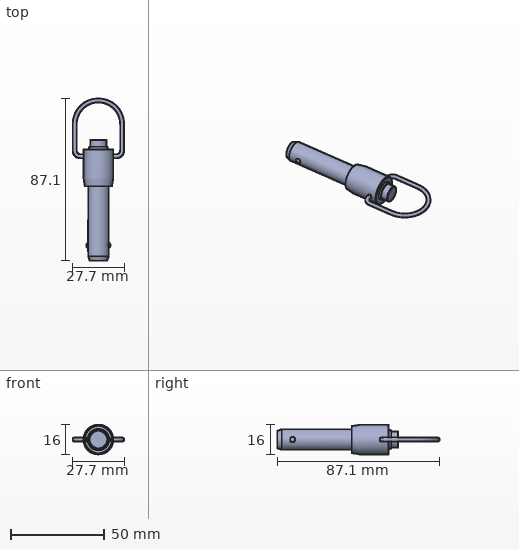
import cadquery as cq


tip_taper_length = 2.4
ball_y = 8.3
body_start = 39.9
recess_depth = 0.3
body_taper_end = 44.2
body_end = 59.9
collar_end = 61.1
button_end = 65.0

tip_radius = 4.7
shank_radius = 5.6
recess_radius = 5.75
body_nose_radius = 7.3
body_radius = 8.0
collar_base_radius = 5.2
collar_top_radius = 5.0
button_radius = 4.4
edge_chamfer = 0.3

ball_radius = 1.5
ball_reach = 6.5

overall_length = 87.1
bail_width = 27.7
wire_radius = 1.1
bend_radius = 3.1
bail_half = bail_width / 2 - wire_radius
bow_center_y = overall_length - bail_width / 2
bail_pivot_y = 56.0
bail_embed_x = body_radius - 1.7


def turned_pin():
    """Shank, body with a shallow clearance recess, collar and button."""
    half_profile = [
        (0, 0),
        (tip_radius, 0),
        (shank_radius, tip_taper_length),
        (shank_radius, body_start + recess_depth),
        (recess_radius, body_start + recess_depth),
        (recess_radius, body_start),
        (body_nose_radius, body_start),
        (body_radius, body_taper_end),
        (body_radius, body_end - edge_chamfer),
        (body_radius - edge_chamfer, body_end),
        (collar_base_radius, body_end),
        (collar_top_radius, collar_end),
        (button_radius, collar_end),
        (button_radius, button_end - edge_chamfer),
        (button_radius - edge_chamfer, button_end),
        (0, button_end),
    ]
    return cq.Workplane("XY").polyline(half_profile).close().revolve(360, (0, 0, 0), (0, 1, 0))


def locking_ball(side):
    """Ball protruding from the shank; side is -1 or 1."""
    ball_x = side * (ball_reach - ball_radius)
    return cq.Workplane("XY").sphere(ball_radius).translate((ball_x, ball_y, 0))


def bail():
    """Round wire swept from inside the body, around the bow and back."""
    bend_x = bail_half - bend_radius
    bend_y = bail_pivot_y + bend_radius
    path = (
        cq.Workplane("XY")
        .moveTo(-bail_embed_x, bail_pivot_y)
        .lineTo(-bend_x, bail_pivot_y)
        .tangentArcPoint((-bail_half, bend_y), relative=False)
        .lineTo(-bail_half, bow_center_y)
        .threePointArc((0, bow_center_y + bail_half), (bail_half, bow_center_y))
        .lineTo(bail_half, bend_y)
        .tangentArcPoint((bend_x, bail_pivot_y), relative=False)
        .lineTo(bail_embed_x, bail_pivot_y)
    )
    wire_section = cq.Workplane("YZ", origin=(-bail_embed_x, bail_pivot_y, 0)).circle(wire_radius)
    return wire_section.sweep(path)


result = turned_pin().union(bail())
for side in (-1, 1):
    result = result.union(locking_ball(side))